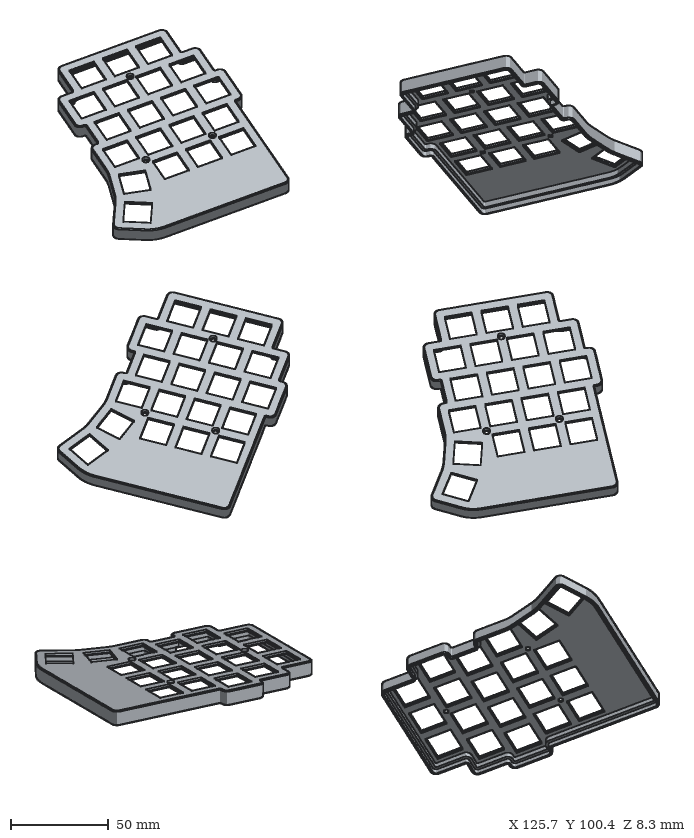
import cadquery as cq
import math

part_width = 125.65
part_height = 8.3

key_pitch = 19.05
key_opening = 14.0
border = 5.12
thumb_border = 5.24
column_rise = [0.0, -0.5, -0.25, -0.5, 0.5]
column_keys = [3, 4, 4, 4, 3]
near_thumb_center = (78.2, -12.19)
near_thumb_tilt = -15.0
far_thumb_center = (97.85, -20.33)
far_thumb_tilt = -30.0

corner_radius = 3.2
inner_corner_radius = 0.5
thumb_bend_radius = 20.0
edge_chamfer = 0.6

plate_thickness = 1.9
upper_wall = 2.7
lower_wall = 1.3
wall_step_depth = 5.2

lip_thickness = 1.3
relief_margin = 0.25

screw_diameter = 2.4
countersink_diameter = 3.8
countersink_depth = 1.0
left_screw_shift = 1.1

half_block = key_opening / 2 + border
thumb_block = key_opening / 2 + thumb_border


def column_x(column):
    return column * key_pitch


def key_y(column, row):
    return (column_rise[column] + row) * key_pitch


def column_bottom(column):
    return key_y(column, 0) - half_block


def column_top(column):
    return key_y(column, column_keys[column] - 1) + half_block


def on_key(center, tilt, along, across):
    """Point at a distance along and across the axes of a tilted key."""
    angle = math.radians(tilt)
    return (
        center[0] + along * math.cos(angle) - across * math.sin(angle),
        center[1] + along * math.sin(angle) + across * math.cos(angle),
    )


def crossing(start_a, tilt_a, start_b, tilt_b):
    """Point where two lines, each given by a point and a direction, cross."""
    ax, ay = math.cos(math.radians(tilt_a)), math.sin(math.radians(tilt_a))
    bx, by = math.cos(math.radians(tilt_b)), math.sin(math.radians(tilt_b))
    dx, dy = start_b[0] - start_a[0], start_b[1] - start_a[1]
    reach = (dx * by - dy * bx) / (ax * by - ay * bx)
    return (start_a[0] + reach * ax, start_a[1] + reach * ay)


def outline_corners():
    """Corners of the outer edge with their rounding radii, clockwise from the lower left."""
    left = -half_block
    right = left + part_width
    second_left = column_x(1) - half_block
    third_left = column_x(2) - half_block
    third_right = column_x(2) + half_block
    second_right = column_x(1) + half_block
    fourth_left = column_x(3) - half_block
    fourth_foot = (fourth_left, column_bottom(3))
    near_edge = on_key(near_thumb_center, near_thumb_tilt, 0, -thumb_block)
    far_edge = on_key(far_thumb_center, far_thumb_tilt, 0, -thumb_block)
    far_corner = on_key(far_thumb_center, far_thumb_tilt, thumb_block, -thumb_block)
    return [
        ((left, column_bottom(0)), corner_radius),
        ((left, column_top(0)), corner_radius),
        ((second_left, column_top(0)), inner_corner_radius),
        ((second_left, column_top(1)), corner_radius),
        ((third_left, column_top(1)), inner_corner_radius),
        ((third_left, column_top(2)), corner_radius),
        ((third_right, column_top(2)), corner_radius),
        ((third_right, column_top(3)), inner_corner_radius),
        ((right, column_top(3)), corner_radius),
        (crossing((right, 0), 90, far_corner, far_thumb_tilt + 90), thumb_bend_radius),
        (far_corner, corner_radius),
        (crossing(far_edge, far_thumb_tilt, near_edge, near_thumb_tilt), thumb_bend_radius),
        (crossing(near_edge, near_thumb_tilt, fourth_foot, 0), thumb_bend_radius),
        (fourth_foot, corner_radius),
        ((fourth_left, column_bottom(2)), inner_corner_radius),
        ((second_right, column_bottom(2)), inner_corner_radius),
        ((second_right, column_bottom(1)), corner_radius),
        ((second_left, column_bottom(1)), corner_radius),
        ((second_left, column_bottom(0)), inner_corner_radius),
    ]


def rounded_outline(corners):
    """Closed wire through the corners, each rounded by its own radius."""
    edges = []
    arcs = []
    for index, (corner, radius) in enumerate(corners):
        point = cq.Vector(*corner)
        back = (cq.Vector(*corners[index - 1][0]) - point).normalized()
        ahead = (cq.Vector(*corners[(index + 1) % len(corners)][0]) - point).normalized()
        half_angle = back.getAngle(ahead) / 2
        setback = radius / math.tan(half_angle)
        middle_reach = radius / math.sin(half_angle) - radius
        middle = point + (back + ahead).normalized() * middle_reach
        arcs.append((point + back * setback, middle, point + ahead * setback))
    for index, (start, middle, end) in enumerate(arcs):
        edges.append(cq.Edge.makeLine(arcs[index - 1][2], start))
        edges.append(cq.Edge.makeThreePointArc(start, middle, end))
    return cq.Wire.assembleEdges(edges)


outline = rounded_outline(outline_corners())


def outer_block():
    block = cq.Workplane("XY").add(outline).toPending().extrude(part_height)
    return block.faces("<Z or >Z").edges().chamfer(edge_chamfer)


def cavity(wall, height):
    """Inside of the case up to a height, a wall's thickness in from the outline."""
    inside = cq.Workplane("XY").add(outline).toPending().offset2D(-wall)
    return inside.extrude(height)


def key_cutter(center, tilt):
    """Square opening through the plate with its wider relief below the lip."""
    relief_size = key_opening + 2 * relief_margin
    opening = cq.Workplane("XY").rect(key_opening, key_opening).extrude(part_height)
    relief = cq.Workplane("XY").rect(relief_size, relief_size).extrude(part_height - lip_thickness)
    cutter = opening.union(relief)
    return cutter.rotate((0, 0, 0), (0, 0, 1), tilt).translate((center[0], center[1], 0))


def screw_centers():
    left_x = (column_x(0) + column_x(1)) / 2 + left_screw_shift
    right_x = (column_x(3) + column_x(4)) / 2
    lower_y = (key_y(3, 0) + key_y(3, 1)) / 2
    middle_y = (key_y(1, 1) + key_y(1, 2)) / 2
    upper_y = (key_y(3, 2) + key_y(3, 3)) / 2
    return [(left_x, middle_y), (right_x, lower_y), (right_x, upper_y)]


body = outer_block()
body = body.cut(cavity(upper_wall, part_height - plate_thickness))
body = body.cut(cavity(lower_wall, part_height - wall_step_depth))

for column, key_count in enumerate(column_keys):
    for row in range(key_count):
        body = body.cut(key_cutter((column_x(column), key_y(column, row)), 0))
body = body.cut(key_cutter(near_thumb_center, near_thumb_tilt))
body = body.cut(key_cutter(far_thumb_center, far_thumb_tilt))

countersink_angle = 2 * math.degrees(
    math.atan((countersink_diameter - screw_diameter) / 2 / countersink_depth)
)
result = (
    body.faces(">Z")
    .workplane(origin=(0, 0, part_height))
    .pushPoints(screw_centers())
    .cskHole(screw_diameter, countersink_diameter, countersink_angle)
)